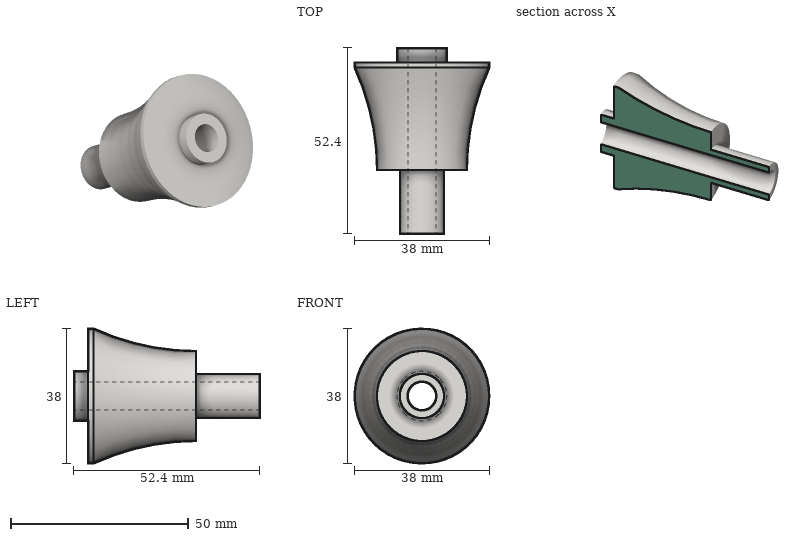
import cadquery as cq
import math

rim_diameter = 38.0
rim_thickness = 1.5
flare_length = 28.9
narrow_diameter = 25.4
shaft_diameter = 12.5
shaft_length = 18.0
boss_diameter = 14.0
boss_length = 4.0
bore_diameter = 8.0

flare_start = shaft_length
rim_start = flare_start + flare_length
rim_end = rim_start + rim_thickness
boss_end = rim_end + boss_length

rim_radius = rim_diameter / 2
narrow_radius = narrow_diameter / 2
flare_rise = rim_radius - narrow_radius
flare_radius = (flare_length**2 + flare_rise**2) / (2 * flare_rise)
sweep_angle = math.asin(flare_length / flare_radius)


def flare_point(angle):
    """Point (radius, Y) on the flare arc, at an angle from its narrow end."""
    radius = narrow_radius + flare_radius * (1 - math.cos(angle))
    return (radius, flare_start + flare_radius * math.sin(angle))


def make_knob():
    """Flared body with its cylindrical rim, revolved about Y."""
    profile = (
        cq.Workplane("XY")
        .moveTo(0, flare_start)
        .lineTo(*flare_point(0))
        .threePointArc(flare_point(sweep_angle / 2), (rim_radius, rim_start))
        .lineTo(rim_radius, rim_end)
        .lineTo(0, rim_end)
        .close()
    )
    return profile.revolve(360, (0, 0, 0), (0, 1, 0))


def make_cylinder(diameter, start, end):
    """Cylinder on the Y axis between two stations."""
    plane = cq.Plane(origin=(0, start, 0), xDir=(1, 0, 0), normal=(0, 1, 0))
    return cq.Workplane(plane).circle(diameter / 2).extrude(end - start)


shaft = make_cylinder(shaft_diameter, 0, flare_start)
boss = make_cylinder(boss_diameter, rim_end, boss_end)
bore = make_cylinder(bore_diameter, 0, boss_end)

result = make_knob().union(shaft).union(boss).cut(bore)